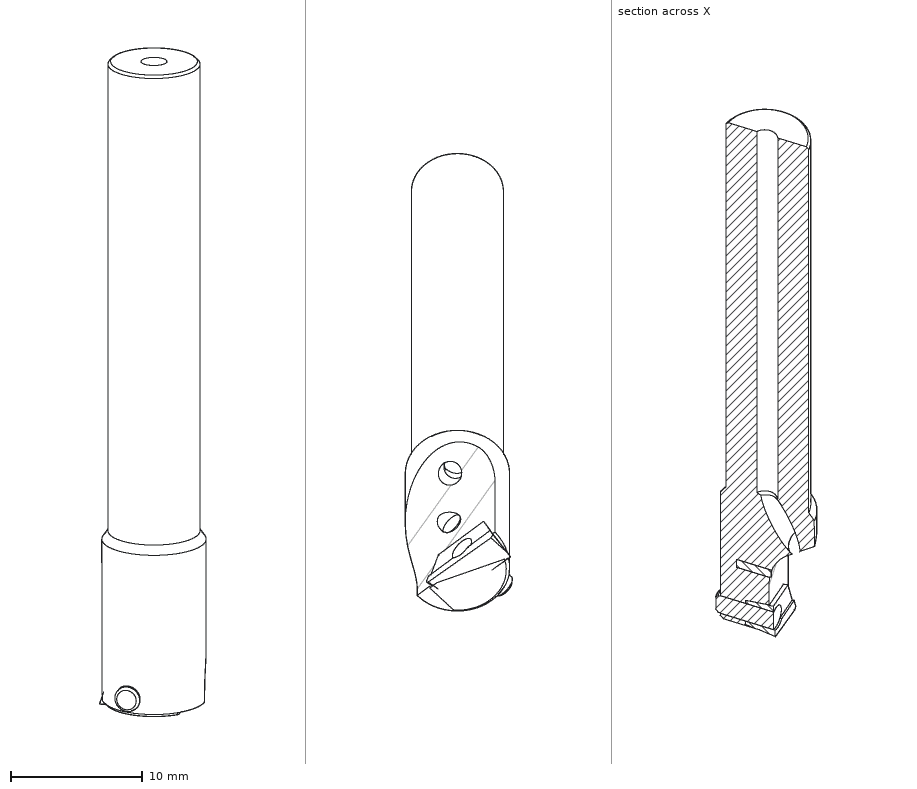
import cadquery as cq
import math


top_z = 51.7
shank_radius = 3.5
top_chamfer = 0.2
head_radius = 4.0
shoulder_top_z = 14.05
shoulder_base_z = 13.4
base_z = 0.35
base_chamfer = 0.25
base_relief_x = 2.7
base_relief_z = base_z + base_chamfer

bore_radius = 1.0
bore_end_z = 14.45
drill_point_half_angle = math.radians(59)
bore_point_height = bore_radius / math.tan(drill_point_half_angle)
outlet_radius = 0.9
outlet_mouth = cq.Vector(-1.2, 2.15, 9.85)
outlet_start = cq.Vector(0.2, 0, bore_end_z)
outlet_overrun = 2.05

floor_y = 0.15
flute_slant = 41.0
wall_angle = 59.0
wall_foot = 5.5
flute_corner_radius = 3.1
flute_reach = 20.65

insert_center_x = -0.85
insert_face_y = 0.65
insert_thickness = 2.5
insert_height = 3.3
insert_half_width = 3.4
insert_top_half_width = 2.3
insert_edge_rise = 0.3
corner_flat = 0.2
clearance_angle = 8.0
land_height = 1.1
land_step = 0.15

relief_depth = 0.6
relief_back_y = insert_face_y - insert_thickness
relief_front_roof_z = 1.4
relief_back_roof_z = 1.0

screw_x = -0.95
screw_z = 1.75
screw_radius = 1.0
screw_chamfer = 0.2
screw_stick_out = 0.35
screw_end_y = -head_radius - screw_stick_out
screw_face_y = insert_face_y - land_step

pin_x = 0.3
pin_z = 6.5
pin_radius = 0.9
pin_face_y = 0.3
pin_end_y = -2.6


def cylinder_along_y(x, z, radius, start_y, end_y):
    """Cylinder parallel to Y, from start_y up to end_y."""
    plane = cq.Plane(origin=(x, start_y, z), xDir=(1, 0, 0), normal=(0, 1, 0))
    return cq.Workplane(plane).circle(radius).extrude(end_y - start_y)


def make_blank():
    """Turned shank and head, before any cutting."""
    profile = [
        (0, base_z),
        (head_radius - base_chamfer, base_z),
        (head_radius, base_z + base_chamfer),
        (head_radius, shoulder_base_z),
        (shank_radius, shoulder_top_z),
        (shank_radius, top_z - top_chamfer),
        (shank_radius - top_chamfer, top_z),
        (0, top_z),
    ]
    return cq.Workplane("XZ").polyline(profile).close().revolve(360, (0, 0), (0, 1))


def make_base_relief():
    """Shallow step across the +X edge of the lower end."""
    return cq.Workplane("XY").box(
        head_radius, 2 * head_radius, base_relief_z, centered=(False, True, False)
    ).translate((base_relief_x, 0, 0))


def make_coolant_passage():
    """Drilled axial bore with a pointed end, joined to its slanted outlet."""
    profile = [
        (0, bore_end_z - bore_point_height),
        (bore_radius, bore_end_z),
        (bore_radius, top_z),
        (0, top_z),
    ]
    bore = cq.Workplane("XZ").polyline(profile).close().revolve(360, (0, 0), (0, 1))
    run = outlet_mouth - outlet_start
    outlet = cq.Solid.makeCylinder(outlet_radius, run.Length + outlet_overrun, outlet_start, run)
    return bore.union(cq.Workplane(outlet))


def make_flute():
    """Space cut away on the +Y side."""
    slant = math.radians(flute_slant)
    wall = math.radians(wall_angle)
    tangent_length = flute_corner_radius * math.tan(wall / 2)
    wall_top = floor_y + flute_reach * math.sin(wall)
    plane = cq.Plane(
        origin=(0, 0, 0),
        xDir=(math.sin(slant), 0, math.cos(slant)),
        normal=(-math.cos(slant), 0, math.sin(slant)),
    )
    return (
        cq.Workplane(plane)
        .moveTo(-flute_reach, floor_y)
        .lineTo(wall_foot - tangent_length, floor_y)
        .tangentArcPoint(
            (wall_foot + tangent_length * math.cos(wall), floor_y + tangent_length * math.sin(wall)),
            relative=False,
        )
        .lineTo(wall_foot + flute_reach * math.cos(wall), wall_top)
        .lineTo(-flute_reach, wall_top)
        .close()
        .extrude(flute_reach, both=True)
    )


def make_corner_relief():
    """Notch in the head beside the insert's -X flank."""
    outline = [
        (relief_back_y, 0),
        (floor_y, 0),
        (floor_y, relief_front_roof_z),
        (relief_back_y, relief_back_roof_z),
    ]
    return cq.Workplane("YZ", origin=(-head_radius, 0, 0)).polyline(outline).close().extrude(relief_depth)


def make_insert_blank():
    """Insert without its screw hole; every flank leans in from the cutting face."""
    left = insert_center_x - insert_half_width
    right = insert_center_x + insert_half_width
    outline = [
        (left + corner_flat, 0),
        (right - corner_flat, insert_edge_rise),
        (right, insert_edge_rise + corner_flat),
        (insert_center_x + insert_top_half_width, insert_height),
        (insert_center_x - insert_top_half_width, insert_height),
        (left, corner_flat),
    ]
    blank = (
        cq.Workplane("XZ", origin=(0, insert_face_y, 0))
        .polyline(outline)
        .close()
        .extrude(insert_thickness, taper=clearance_angle)
    )
    above_land = cq.Workplane("XY").box(
        2 * insert_half_width, land_step, insert_height, centered=(True, False, False)
    ).translate((insert_center_x, insert_face_y - land_step, land_height))
    return blank.cut(above_land)


def make_clamp_screw():
    """Plain screw with a chamfered end standing out of the -Y side."""
    screw = cylinder_along_y(screw_x, screw_z, screw_radius, screw_end_y, screw_face_y)
    return screw.faces("<Y").chamfer(screw_chamfer)


insert_blank = make_insert_blank()
clamp_screw = make_clamp_screw()
pin = cylinder_along_y(pin_x, pin_z, pin_radius, pin_end_y, pin_face_y)
pin_hole = cylinder_along_y(pin_x, pin_z, pin_radius, pin_end_y, head_radius)
screw_hole = cylinder_along_y(screw_x, screw_z, screw_radius, screw_end_y, insert_face_y)

insert = insert_blank.cut(screw_hole)
bar = (
    make_blank()
    .cut(make_base_relief())
    .cut(make_coolant_passage())
    .cut(make_flute())
    .cut(make_corner_relief())
    .cut(insert_blank)
    .cut(screw_hole)
    .cut(pin_hole)
)

result = cq.Compound.makeCompound([bar.val(), insert.val(), clamp_screw.val(), pin.val()])